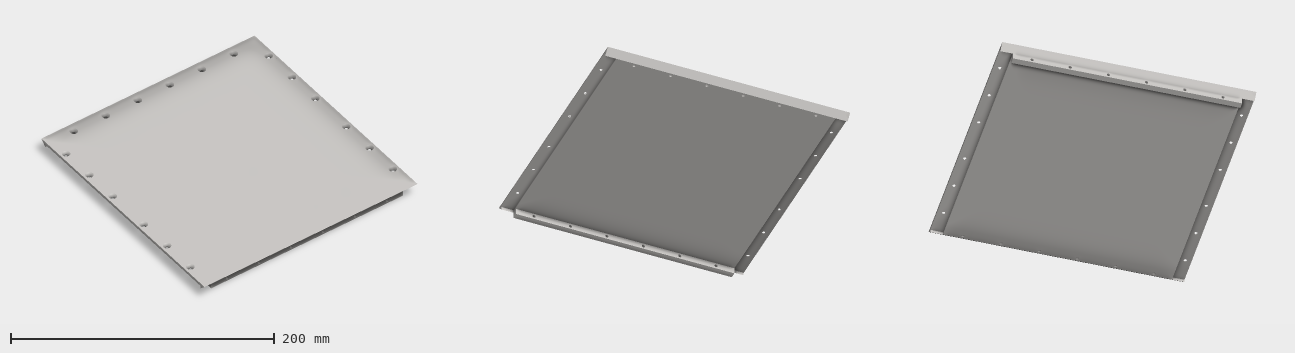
import cadquery as cq

top_length = 210.0
width = 200.0
thickness = 5.0
bevel = 5.0
bottom_length = top_length - 2 * bevel

rabbet_depth = 9.9
flange_thickness = thickness / 2

lip_thickness = 5.0
lip_drop = 5.0
lip_length = width - 2 * rabbet_depth

hole_diameter = 2.5
countersink_diameter = 6.5
countersink_angle = 90
hole_pitch = 30.0
side_inner_hole_x = 20.0
side_hole_y = width / 2 - rabbet_depth / 2
end_hole_inset = 7.5
end_hole_x = -top_length / 2 + end_hole_inset
holes_per_end = 6
holes_per_side_group = 3

side_hole_distances = [side_inner_hole_x + i * hole_pitch for i in range(holes_per_side_group)]
end_hole_ys = [(i - (holes_per_end - 1) / 2) * hole_pitch for i in range(holes_per_end)]


def make_plate():
    """Plate with a trapezoidal section, extruded along Y."""
    section = [
        (-top_length / 2, 0),
        (top_length / 2, 0),
        (bottom_length / 2, -thickness),
        (-bottom_length / 2, -thickness),
    ]
    return cq.Workplane("XZ").polyline(section).close().extrude(width / 2, both=True)


def make_rabbet(side):
    """Step removed from below one Y edge, between the bevelled ends."""
    return (
        cq.Workplane("XY", origin=(0, side * (width - rabbet_depth) / 2, -thickness))
        .rect(bottom_length, rabbet_depth)
        .extrude(thickness - flange_thickness)
    )


def make_lip():
    """Lip under the +X end, joined to the underside of the plate."""
    lip_x = (bottom_length - lip_thickness) / 2
    return (
        cq.Workplane("XY", origin=(lip_x, 0, -thickness))
        .rect(lip_thickness, lip_length)
        .extrude(-lip_drop)
    )


def make_lip_holes():
    """Row of holes through the lip along X, at half its height."""
    hole_z = -thickness - lip_drop / 2
    return (
        cq.Workplane("YZ", origin=(bottom_length / 2 - lip_thickness, 0, 0))
        .pushPoints([(y, hole_z) for y in end_hole_ys])
        .circle(hole_diameter / 2)
        .extrude(lip_thickness)
    )


side_holes = [
    (x_side * distance, y_side * side_hole_y)
    for x_side in (-1, 1)
    for y_side in (-1, 1)
    for distance in side_hole_distances
]
end_holes = [(end_hole_x, y) for y in end_hole_ys]

result = make_plate()
for side in (-1, 1):
    result = result.cut(make_rabbet(side))
result = result.union(make_lip()).cut(make_lip_holes())
result = (
    result.copyWorkplane(cq.Workplane("XY"))
    .pushPoints(side_holes + end_holes)
    .cskHole(hole_diameter, countersink_diameter, countersink_angle)
)